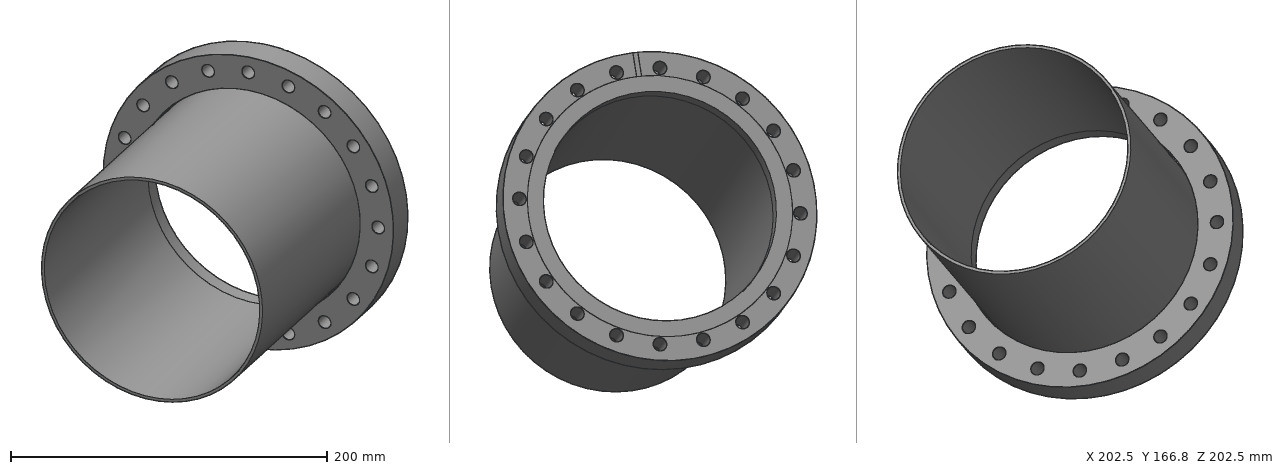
import cadquery as cq


flange_diameter = 202.5
total_length = 166.8
flange_thickness = 22.0

tube_outer_diameter = 154.0
tube_wall = 2.0
tube_bore_diameter = tube_outer_diameter - 2 * tube_wall

bolt_count = 20
bolt_circle_diameter = 181.0
bolt_hole_diameter = 8.5
bolt_pitch = 360 / bolt_count

ring_clearance = 0.8
ring_bore_diameter = tube_outer_diameter + 2 * ring_clearance

edge_break = 0.2

bolt_wall = 0.8
insert_diameter = bolt_circle_diameter - bolt_hole_diameter - 2 * bolt_wall
insert_thickness = flange_thickness / 2

groove_width = 3.2
groove_depth = 0.6
groove_angle = bolt_pitch / 2

tube_front = 0.0
sealing_face = tube_front + total_length
ring_front = sealing_face - flange_thickness
insert_front = sealing_face - insert_thickness


def cross_section(y):
    """Sketch plane across the axis, facing +Y, with its local x along +Z and local y along +X."""
    return cq.Workplane(cq.Plane(origin=(0, y, 0), xDir=(0, 0, 1), normal=(0, 1, 0)))


def cylinder(diameter, y_start, y_end):
    """Solid cylinder about the Y axis between two stations."""
    return cross_section(y_start).circle(diameter / 2).extrude(y_end - y_start)


def sleeve(outer_diameter, bore_diameter, y_start, y_end):
    """Hollow cylinder about the Y axis between two stations."""
    return cylinder(outer_diameter, y_start, y_end).cut(cylinder(bore_diameter, y_start, y_end))


def bolt_holes():
    """Cutters for the through holes on the bolt circle."""
    return (
        cross_section(ring_front)
        .polarArray(bolt_circle_diameter / 2, 0, 360, bolt_count)
        .circle(bolt_hole_diameter / 2)
        .extrude(flange_thickness)
    )


def leak_groove():
    """Cutter for the radial groove, tilted from +Z toward +X."""
    return (
        cross_section(sealing_face - groove_depth)
        .transformed(rotate=(0, 0, groove_angle))
        .rect(flange_diameter / 2, groove_width, centered=(False, True))
        .extrude(groove_depth)
    )


def make_ring():
    """Rotating bolt ring with chamfered faces and a counterbore for the insert."""
    ring = sleeve(flange_diameter, ring_bore_diameter, ring_front, sealing_face)
    ring = ring.cut(bolt_holes())
    ring = ring.faces("<Y or >Y").edges().chamfer(edge_break)
    insert_seat = cylinder(insert_diameter, insert_front, sealing_face)
    return ring.cut(insert_seat).cut(leak_groove())


def make_insert():
    """Weld insert that the ring clamps. Its bore continues the tube bore."""
    return sleeve(insert_diameter, tube_bore_diameter, insert_front, sealing_face)


def make_tube():
    """Tube that butts against the front of the insert."""
    return sleeve(tube_outer_diameter, tube_bore_diameter, tube_front, insert_front)


ring = make_ring()
insert = make_insert()
tube = make_tube()

result = cq.Compound.makeCompound([ring.val(), insert.val(), tube.val()])